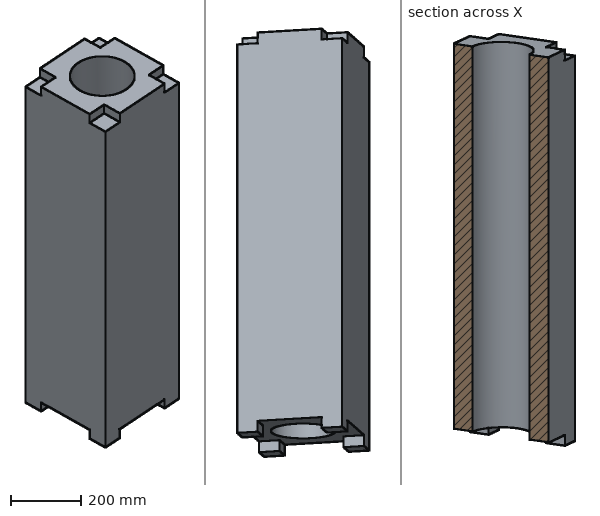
import cadquery as cq

height = 1170.0
side = 310.0
corner_side = 61.0
corner_height = 32.0
bore_diameter = 185.0


def corner_blocks(base_z):
    """Four square blocks, flush with the column's outer corners."""
    spacing = side - corner_side
    return (
        cq.Workplane("XY", origin=(0, 0, base_z))
        .rect(spacing, spacing, forConstruction=True)
        .vertices()
        .rect(corner_side, corner_side)
        .extrude(corner_height)
    )


body_height = height - corner_height
column = (
    cq.Workplane("XY", origin=(0, 0, corner_height))
    .rect(side, side)
    .extrude(body_height)
)

bore = (
    cq.Workplane("XY")
    .circle(bore_diameter / 2)
    .extrude(height)
)

feet = corner_blocks(0)
recesses = corner_blocks(height - corner_height)

result = column.union(feet).cut(recesses).cut(bore)